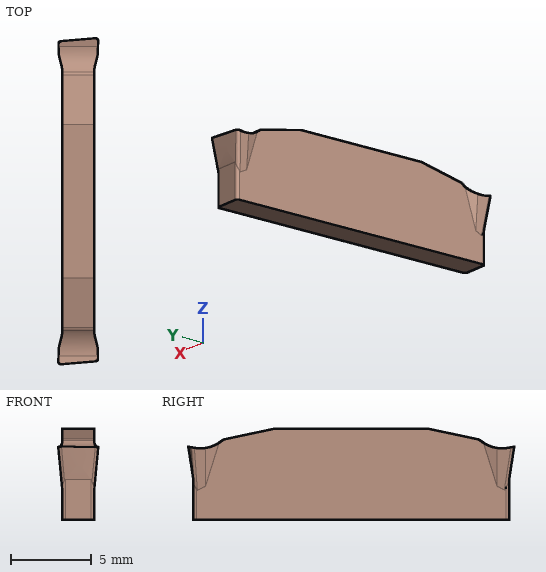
import math

import cadquery as cq


bar_width = 2.0
bar_half_length = 9.81
bar_height = 5.68
bar_corner_radius = 0.2

crest_half_length = 4.75
ramp_end_y = 7.95
ramp_angle = 12.0
ramp_rounding_radius = 0.5
groove_radius = 2.1
land_start_y = 9.62
land_start_z = 4.47
land_angle = 10.0
envelope_half_length = 10.6
envelope_half_width = 2.0

tip_half_width = 1.257
tip_y = 10.0
tip_z = 4.56
side_clearance = 5.0
side_relief = 2.5
back_relief = 15.6
back_relief_y = 9.05
front_clearance = 6.4
edge_skew = 4.8
front_foot_z = 2.5
head_corner_radius = 0.2
head_bottom_z = 1.6
head_top_z = 5.2
root_half_width = 0.9


def slope(angle):
    """Rise per unit run of a face at the given angle in degrees."""
    return math.tan(math.radians(angle))


def half_turn(body):
    """Copy of a body turned half a turn about Z, onto the other end of the part."""
    return body.rotate((0, 0, 0), (0, 0, 1), 180)


def make_envelope():
    """Block under the top outline, wide enough to contain the heads."""
    ramp_end_z = bar_height - (ramp_end_y - crest_half_length) * slope(ramp_angle)
    land_end_z = land_start_z + (envelope_half_length - land_start_y) * slope(land_angle)
    half = (
        cq.Workplane("YZ")
        .moveTo(0, 0)
        .lineTo(0, bar_height)
        .lineTo(crest_half_length, bar_height)
        .lineTo(ramp_end_y, ramp_end_z)
        .radiusArc((land_start_y, land_start_z), -groove_radius)
        .lineTo(envelope_half_length, land_end_z)
        .lineTo(envelope_half_length, 0)
        .close()
        .extrude(envelope_half_width, both=True)
    )
    ramp_end = cq.NearestToPointSelector((0, ramp_end_y, ramp_end_z))
    half = half.edges("|X").edges(ramp_end).fillet(ramp_rounding_radius)
    return half.union(half_turn(half))


def head_section(z):
    """Corner points of the +Y head at height z, from the left root round to the right root."""
    narrowing = (tip_z - z) * slope(side_clearance)
    back_half_width = tip_half_width - narrowing - (tip_y - back_relief_y) * slope(side_relief)
    root_y = back_relief_y - (back_half_width - root_half_width) / slope(back_relief)

    rise = z - front_foot_z
    middle_y = bar_half_length + rise * slope(front_clearance)
    skew_offset = tip_half_width * slope(edge_skew) * rise / (tip_z - front_foot_z)

    def front_corner(side):
        front_y = middle_y + side * skew_offset
        half_width = back_half_width + (front_y - back_relief_y) * slope(side_relief)
        return (side * half_width, front_y)

    return [
        (-root_half_width, root_y),
        (-back_half_width, back_relief_y),
        front_corner(-1),
        front_corner(1),
        (back_half_width, back_relief_y),
        (root_half_width, root_y),
    ]


def make_head():
    """Flared cutting head at the +Y end, before its top is trimmed."""
    head = (
        cq.Workplane("XY", origin=(0, 0, head_bottom_z))
        .polyline(head_section(head_bottom_z))
        .close()
        .workplane(offset=head_top_z - head_bottom_z)
        .polyline(head_section(head_top_z))
        .close()
        .loft(ruled=True)
    )
    middle_z = (head_bottom_z + head_top_z) / 2
    for x, y in head_section(middle_z)[2:4]:
        front_edge = cq.NearestToPointSelector((x, y, middle_z))
        head = head.edges(front_edge).fillet(head_corner_radius)
    return head


def make_bar():
    """Plain bar with rounded upright corners, before its top is trimmed."""
    return (
        cq.Workplane("XY")
        .box(bar_width, 2 * bar_half_length, bar_height, centered=(True, True, False))
        .edges("|Z")
        .fillet(bar_corner_radius)
    )


head = make_head()
result = make_bar().union(head).union(half_turn(head)).intersect(make_envelope())